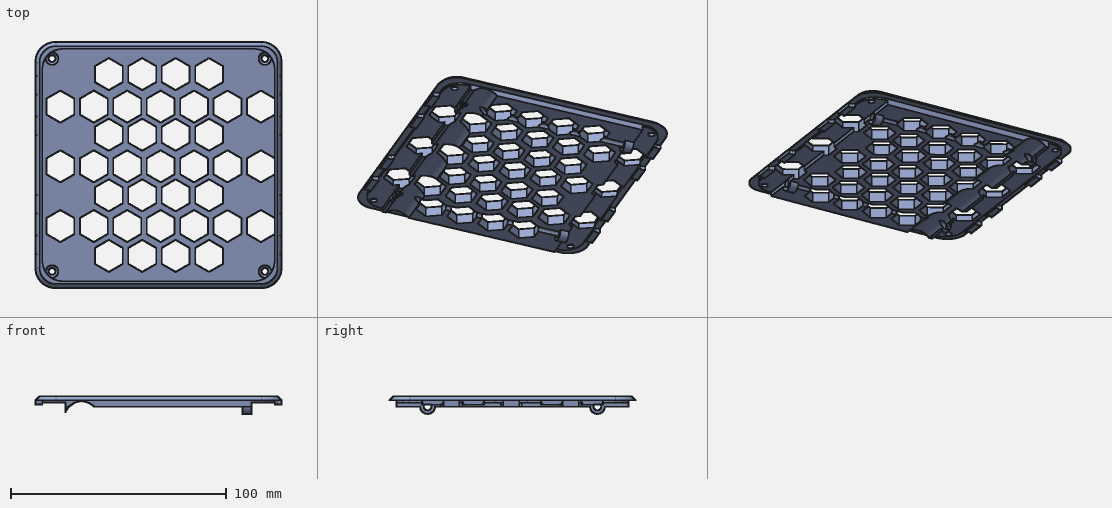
import cadquery as cq
import math

frame_side = 114.3
frame_corner_radius = 9.5
frame_thickness = 2.0
bevel_angle = 45

plate_side = 107.7
plate_corner_radius = 9.3
panel_thickness = 3.0
block_thickness = 5.0
block_length = 86.3

hex_sides = 6
hex_across_flats = 12.8
hex_diameter = hex_across_flats / math.cos(math.pi / hex_sides)
hex_pitch = 15.5
narrow_row_count = 4
narrow_row_hexes = 4
narrow_row_spacing = 28.1
narrow_row_centre = (0.2, 0.0)
wide_row_count = 3
wide_row_hexes = 7
wide_row_spacing = 27.7
wide_row_centre = (1.0, -0.6)

screw_offset = 49.35
screw_diameter = 3.0
countersink_diameter = 5.8
countersink_angle = 90

eyelet_diameter = 7.0
eyelet_length = 4.2
rod_diameter = 3.5
rod_y = 39.4
rod_z = -4.85

channel_radius = 8.0
channel_x = -35.7
channel_z = -10.5

tab_width = 9.7
tab_bottom = -4.0
tab_offsets = (18.2, 37.0)
tab_notch_radius = 1.6
tab_notch_run = 2.1
tab_flank_angle = math.radians(30)


def rounded_square(side, corner_radius, thickness):
    """Rounded square slab whose top face lies at Z = 0."""
    slab = cq.Workplane("XY").rect(side, side).extrude(-thickness)
    return slab.edges("|Z").fillet(corner_radius)


def hex_row_points(count, rows, spacing, centre):
    """Centres of a block of hexagons laid out in equal rows."""
    centre_x, centre_y = centre
    return [
        (centre_x + (i - (count - 1) / 2) * hex_pitch, centre_y + (j - (rows - 1) / 2) * spacing)
        for i in range(count)
        for j in range(rows)
    ]


def hex_openings():
    """Cutter for every hexagonal opening, points along Y."""
    points = hex_row_points(narrow_row_hexes, narrow_row_count, narrow_row_spacing, narrow_row_centre)
    points += hex_row_points(wide_row_hexes, wide_row_count, wide_row_spacing, wide_row_centre)
    hexagons = cq.Sketch().push(points).regularPolygon(hex_diameter / 2, hex_sides)
    return cq.Workplane("XY").placeSketch(hexagons).extrude(-block_thickness)


def rod(diameter, start_x, length, y):
    """Cylinder along X on a hinge axis."""
    return cq.Workplane("YZ", origin=(start_x, y, rod_z)).circle(diameter / 2).extrude(length)


def make_tab(y):
    """Tab under the -X rail of the frame, centred on the given Y."""
    outer_x = -frame_side / 2
    inner_x = -plate_side / 2
    tangent_x = outer_x + tab_notch_run
    notch_x = tangent_x - tab_notch_radius * math.sin(tab_flank_angle)
    corner_rise = math.sqrt(tab_notch_radius**2 - (notch_x - outer_x) ** 2)
    notch_y = tab_width / 2 + corner_rise
    bottom_y = notch_y - tab_notch_radius
    tangent_y = notch_y - tab_notch_radius * math.cos(tab_flank_angle)
    inner_y = tangent_y + (inner_x - tangent_x) * math.tan(tab_flank_angle)
    return (
        cq.Workplane("XY", origin=(0, y, -frame_thickness))
        .moveTo(outer_x, -tab_width / 2)
        .lineTo(outer_x, tab_width / 2)
        .threePointArc((notch_x, bottom_y), (tangent_x, tangent_y))
        .lineTo(inner_x, inner_y)
        .lineTo(inner_x, -inner_y)
        .lineTo(tangent_x, -tangent_y)
        .threePointArc((notch_x, -bottom_y), (outer_x, -tab_width / 2))
        .close()
        .extrude(tab_bottom + frame_thickness)
    )


def make_plate():
    plate = rounded_square(plate_side, plate_corner_radius, panel_thickness)
    block = cq.Workplane("XY").rect(block_length, plate_side).extrude(-block_thickness)
    plate = plate.union(block)

    for offset in tab_offsets:
        for y in (-offset, offset):
            tab = make_tab(y)
            plate = plate.union(tab).union(tab.mirror("YZ"))

    for y in (-rod_y, rod_y):
        for start_x in (-block_length / 2, block_length / 2 - eyelet_length):
            plate = plate.union(rod(eyelet_diameter, start_x, eyelet_length, y))
        plate = plate.cut(rod(rod_diameter, -block_length / 2, block_length, y))

    channel = (
        cq.Workplane("XZ", origin=(channel_x, 0, channel_z))
        .circle(channel_radius)
        .extrude(plate_side / 2, both=True)
    )
    plate = plate.cut(channel).cut(hex_openings())

    return (
        plate.faces(">Z").workplane(origin=(0, 0, 0))
        .rect(2 * screw_offset, 2 * screw_offset, forConstruction=True)
        .vertices()
        .cskHole(screw_diameter, countersink_diameter, countersink_angle)
    )


def make_frame():
    outline = cq.Sketch().rect(frame_side, frame_side).vertices().fillet(frame_corner_radius)
    frame = (
        cq.Workplane("XY", origin=(0, 0, -frame_thickness))
        .placeSketch(outline)
        .extrude(frame_thickness, taper=bevel_angle)
    )
    return frame.cut(rounded_square(plate_side, plate_corner_radius, frame_thickness))


plate = make_plate()
frame = make_frame()
result = cq.Compound.makeCompound([frame.val(), plate.val()])